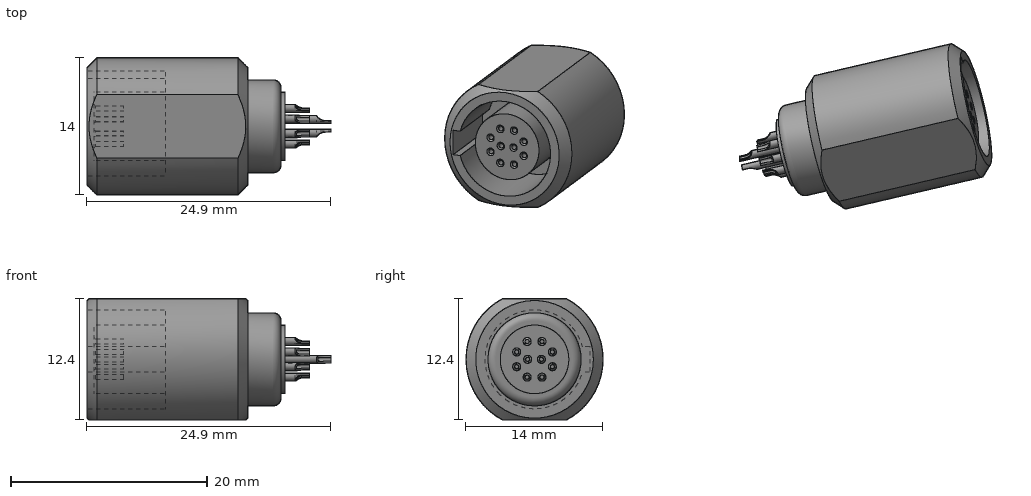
import cadquery as cq
import math

body_dia = 14.0
body_length = 16.4
body_chamfer = 1.0
across_flats = 12.4

collar_dia = 9.5
collar_end = 19.8
collar_fillet = 0.8

cavity_dia = 10.1
cavity_depth = 8.0
keyway_width = 2.6
keyway_reach = 5.65

insert_dia = 7.0
insert_recess = 0.7
insert_end = 20.2

contact_dia = 0.82
ring_radius = 1.97
ring_count = 8
ring_tail_end = 22.7
pair_offset = 0.7
pair_tail_end = 24.9

socket_dia = 0.5
socket_depth = 3.0
socket_mouth_dia = 0.8

cup_bore_dia = 0.42
cup_flat_length = 0.6
cup_flat_below_axis = 0.1
cup_arc_radius = 1.05


def cylinder(dia, start, end):
    """Cylinder on the X axis between two X positions."""
    return cq.Workplane("YZ").workplane(offset=start).circle(dia / 2).extrude(end - start)


def make_housing():
    barrel = cylinder(body_dia, 0, body_length).edges().chamfer(body_chamfer)
    flats = cq.Workplane("XY").box(body_length, body_dia, across_flats).translate((body_length / 2, 0, 0))
    collar = cylinder(collar_dia, cavity_depth, collar_end).faces(">X").edges().fillet(collar_fillet)
    return barrel.intersect(flats).union(collar)


def make_cavity():
    bore = cylinder(cavity_dia, 0, cavity_depth)
    keyway = cq.Workplane("XY").box(cavity_depth, keyway_reach, keyway_width)
    return bore.union(keyway.translate((cavity_depth / 2, keyway_reach / 2, 0)))


def make_socket():
    """Countersunk blind hole, opening at the front face of the insert."""
    mouth_radius = socket_mouth_dia / 2
    bore_radius = socket_dia / 2
    cone_end = insert_recess + mouth_radius - bore_radius
    hole_end = insert_recess + socket_depth
    return (
        cq.Workplane("XY")
        .moveTo(insert_recess, 0)
        .lineTo(insert_recess, mouth_radius)
        .lineTo(cone_end, bore_radius)
        .lineTo(hole_end, bore_radius)
        .lineTo(hole_end, 0)
        .close()
        .revolve(360, (0, 0, 0), (1, 0, 0))
    )


def make_tail(end):
    """Contact tail on the X axis whose solder cup opens toward +Y."""
    contact_radius = contact_dia / 2
    drop = contact_radius + cup_flat_below_axis
    run = math.sqrt(cup_arc_radius**2 - (cup_arc_radius - drop) ** 2)
    flat_start = end - cup_flat_length
    cup_start = flat_start - run
    half_angle = math.acos(1 - drop / cup_arc_radius) / 2
    arc_mid = (
        flat_start - cup_arc_radius * math.sin(half_angle),
        -cup_flat_below_axis + cup_arc_radius * (1 - math.cos(half_angle)),
    )
    opening = (
        cq.Workplane("XY")
        .moveTo(cup_start, contact_radius)
        .threePointArc(arc_mid, (flat_start, -cup_flat_below_axis))
        .lineTo(end, -cup_flat_below_axis)
        .lineTo(end, contact_radius)
        .close()
        .extrude(contact_radius, both=True)
    )
    bore = cylinder(cup_bore_dia, cup_start, end)
    return cylinder(contact_dia, collar_end, end).cut(opening).cut(bore)


def place(shape, radius, angle):
    """Move a shape from the X axis outward by radius, then turn it about the X axis."""
    return shape.translate((0, radius, 0)).rotate((0, 0, 0), (1, 0, 0), angle)


def add_contacts(part):
    pitch = 360 / ring_count
    ring = [(ring_radius, (i + 0.5) * pitch, ring_tail_end) for i in range(ring_count)]
    pair = [(pair_offset, angle, pair_tail_end) for angle in (0, 180)]
    for radius, angle, end in ring + pair:
        part = part.cut(place(make_socket(), radius, angle))
        part = part.union(place(make_tail(end), radius, angle))
    return part


shell = make_housing().cut(make_cavity())
insert = cylinder(insert_dia, insert_recess, insert_end)
result = add_contacts(shell.union(insert))